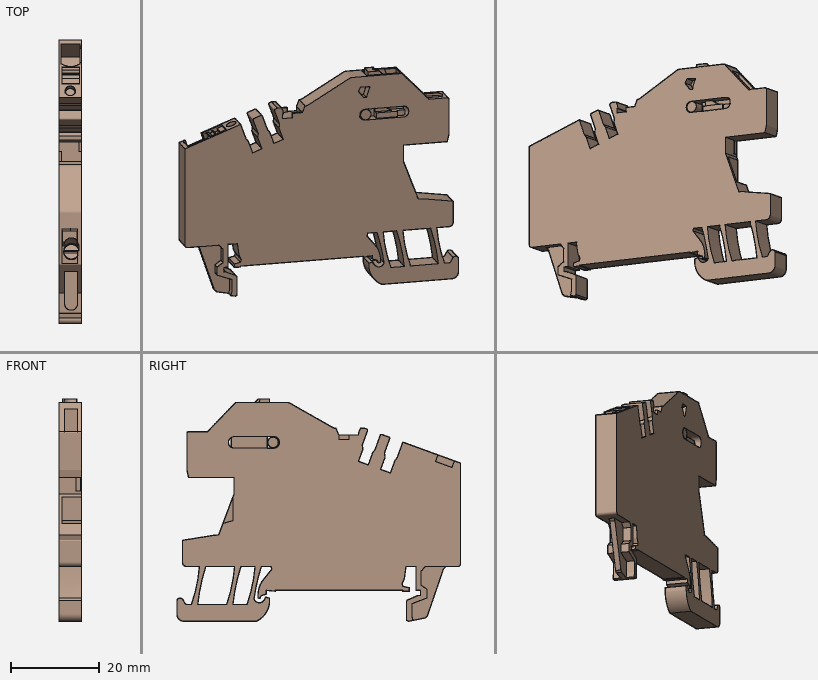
import cadquery as cq
import math

WIDTH = 5.1
HALF = WIDTH / 2
REAR = 31.9
BASE_Z = 12.3
INSIDE_HOUSING = BASE_Z + 0.65
RAIL_Z = 6.95
PLATEAU_Z = 49.2
NOSE_Z = 42.65
TILT = 20.0
SLOPE_FOOT_Z = 35.6
SIN = math.sin(math.radians(TILT))
COS = math.cos(math.radians(TILT))
WEB_WIDTH = 1.3

SLOT_PITCH = 5.3
SLOT_DEPTH = 7.45
SLOT_FIRST = 14.1
SLOT_WIDTH = 2.3
SLOT_STEP_LOW = 2.95
SLOT_STEP_HIGH = 3.7
SLOT_REAR_STEP = 0.25
SLOT_FRONT_STEP = 0.45
TOOTH_ROUNDING = 0.3

SCREW_X = 0.25
SCREW_Y = -14.7
SCREW_R = 1.7
SCREW_HEAD_DEPTH = 2.95
SCREW_BORE_DEPTH = 6.4
SCREWDRIVER_SLOT_W = 0.6
SCREWDRIVER_SLOT_D = 0.65
POCKET_X = (-1.85, 1.65)
POCKET_Y = (-18.4, -10.6)
POCKET_FLOOR = 46.55
PUSHER_TOP = 50.0
PUSHER_Y = (-14.4, -11.05)
PUSHER_X = (-1.8, 1.45)

WINDOW_Y = (-20.3, -8.85)
WINDOW_Z = 40.25
WINDOW_R = 1.3
PIN_R = 1.2
PIN_Y = -10.25
CLAMP_Y = (-19.7, -11.55)
CLAMP_JAW_Y = (-17.85, -12.9)
CLAMP_JAW_X = -1.9
CLAMP_TIP_X = -1.3
CLAMP_TONGUE_X = -0.95
CLAMP_BACK_X = 0.0

FRONT_ENTRY_X = (-1.3, 1.65)
FRONT_ENTRY_Y = (-28.9, -20.15)
FRONT_ENTRY_FLOOR = 42.1
REAR_ENTRY_X = (-2.05, 2.25)
REAR_ENTRY_Y = (25.9, 31.0)
REAR_ENTRY_ARC = 0.7
REAR_ENTRY_DEPTH = 8.8
REAR_NOTCH_Y = (26.8, 30.5)
REAR_NOTCH_DEPTH = 1.6

LEVER_X = (-1.85, 2.05)
LEVER_Y = (22.05, 25.75)
LEVER_POCKET_DEPTH = 1.9
LEVER_RECESS = 0.4
LEVER_GROOVE_Y = (23.3, 24.3)
LEVER_GROOVE_DEPTH = 1.0
LEVER_SCALLOP_Y = 24.9
LEVER_SCALLOP_R = 0.4
TEST_HOLE_Y = 20.4
TEST_HOLE_R = 1.15
TEST_HOLE_DEPTH = 1.6

SHELF_Y = (4.5, 9.1)
SHELF_MIDDLE_Y = 6.75
SHELF_TOP = 41.9
SHELF_DROP = 1.0
SHELF_WALL = 0.6

FRONT_PANEL_X = -1.85
FRONT_PANEL_Y = -19.3
FRONT_PANEL_Z = (22.0, 28.3)
FRONT_NOTCH_X = (1.3, 2.3)
FRONT_NOTCH_Z = (29.3, 32.3)
FRONT_NOTCH_DEPTH = 0.3
FRONT_FACE_Y = -19.05


def box(x_range, y_range, z_range):
    """Axis-aligned block between the given limits."""
    size = [high - low for low, high in (x_range, y_range, z_range)]
    corner = (x_range[0], y_range[0], z_range[0])
    return cq.Workplane("XY").box(*size, centered=False).translate(corner)


def side_plate(outline, x_range=(-HALF, HALF)):
    """Closed wire in the (Y, Z) plane, extruded along X."""
    return outline.close().extrude(x_range[1] - x_range[0]).translate((x_range[0], 0, 0))


def side_polygon(points, x_range=(-HALF, HALF)):
    """Straight-sided outline in (Y, Z), extruded along X."""
    return side_plate(cq.Workplane("YZ").polyline(points), x_range)


def round_edge(body, y, z, radius):
    """Round the edge along X nearest to (y, z)."""
    nearest = cq.selectors.NearestToPointSelector((0, y, z))
    return body.edges("|X").edges(nearest).fillet(radius)


def on_slope(distance, height=0.0):
    """(Y, Z) of a point this far up the sloping top and this high above it."""
    y = REAR - distance * COS + height * SIN
    z = SLOPE_FOOT_Z + distance * SIN + height * COS
    return (y, z)


def slope_plane():
    """Plane on the sloping top: local y = 0 lies at the rear end."""
    return cq.Workplane(
        cq.Plane(origin=(0, REAR, SLOPE_FOOT_Z), xDir=(1, 0, 0), normal=(0, SIN, COS))
    )


def slope_y(y):
    """Local y on the sloping top below a world Y."""
    return (y - REAR) / COS


def slope_box(x_range, y_range, depth):
    """Block sunk square into the sloping top."""
    low, high = slope_y(y_range[0]), slope_y(y_range[1])
    middle = (sum(x_range) / 2, (low + high) / 2)
    return (
        slope_plane().center(*middle).rect(x_range[1] - x_range[0], high - low).extrude(-depth)
    )


def housing_plate():
    plate = side_polygon([
        (REAR, BASE_Z),
        (REAR, SLOPE_FOOT_Z),
        on_slope(22.95),
        (9.4, 43.4),
        (9.0, 42.6),
        (8.85, SHELF_TOP),
        (SHELF_Y[0], SHELF_TOP),
        (3.9, 43.4),
        (3.45, 43.4),
        (-6.75, PLATEAU_Z),
        (-18.7, PLATEAU_Z),
        (-25.0, NOSE_Z),
        (-29.65, NOSE_Z),
        (-29.65, 34.0),
        (-29.3, 32.3),
        (FRONT_FACE_Y, 32.3),
        (FRONT_FACE_Y, 28.65),
        (-22.5, 19.45),
        (-23.5, 19.4),
        (-30.7, 18.25),
        (-30.7, BASE_Z),
    ])
    plate = round_edge(plate, REAR, BASE_Z, 0.65)
    plate = round_edge(plate, -30.7, BASE_Z, 1.0)
    plate = round_edge(plate, 3.45, 43.4, 1.3)
    plate = round_edge(plate, -6.75, PLATEAU_Z, 1.45)
    plate = round_edge(plate, -18.7, PLATEAU_Z, 0.4)
    plate = round_edge(plate, -30.7, 18.25, 0.25)
    return round_edge(plate, -29.65, NOSE_Z, 0.4)


def rail_block():
    """Lower middle of the housing with its lip at the rear and hook at the front."""
    return side_plate(
        cq.Workplane("YZ")
        .moveTo(19.65, BASE_Z)
        .lineTo(19.25, 9.55)
        .lineTo(18.75, 8.5)
        .lineTo(18.95, 7.9)
        .lineTo(20.35, 7.6)
        .lineTo(20.35, 6.75)
        .lineTo(18.9, 6.75)
        .lineTo(18.9, RAIL_Z)
        .lineTo(-9.75, RAIL_Z)
        .lineTo(-9.75, 6.75)
        .lineTo(-11.8, RAIL_Z)
        .lineTo(-11.8, 6.1)
        .lineTo(-12.95, 5.75)
        .lineTo(-13.2, 5.1)
        .lineTo(-13.65, 5.2)
        .threePointArc((-13.45, 7.45), (-12.8, 8.9))
        .lineTo(-10.6, 11.75)
        .lineTo(-10.9, INSIDE_HOUSING)
        .lineTo(19.65, INSIDE_HOUSING)
    )


def bowed_leg(rear_y):
    """Leg of the rail foot; rear_y is where its rear side leaves the housing."""
    foot_z, middle_z = 3.8, 8.55
    inside_sole = 3.2
    return side_plate(
        cq.Workplane("YZ")
        .moveTo(rear_y, BASE_Z)
        .threePointArc((rear_y - 1.0, middle_z), (rear_y - 1.8, foot_z))
        .lineTo(rear_y - 1.8, inside_sole)
        .lineTo(rear_y - 3.25, inside_sole)
        .lineTo(rear_y - 3.25, foot_z)
        .threePointArc((rear_y - 2.0, middle_z), (rear_y - 1.45, BASE_Z))
        .lineTo(rear_y - 1.45, INSIDE_HOUSING)
        .lineTo(rear_y, INSIDE_HOUSING)
    )


def front_foot():
    """Rail foot hung on three bowed legs."""
    sole = side_plate(
        cq.Workplane("YZ")
        .moveTo(-11.05, 5.2)
        .lineTo(-11.9, 5.5)
        .lineTo(-12.25, 4.85)
        .threePointArc((-13.3, 4.2), (-14.55, 5.1))
        .lineTo(-16.1, 3.8)
        .lineTo(-29.9, 3.8)
        .lineTo(-30.6, 5.05)
        .threePointArc((-31.4, 5.2), (-REAR, 4.7))
        .lineTo(-REAR, 1.6)
        .radiusArc((-30.3, 0), -1.6)
        .lineTo(-14.0, 0)
        .threePointArc((-12.1, 1.5), (-11.05, 4.2))
    )
    foot = round_edge(sole, -29.9, 3.8, 0.4)
    for rear_y in (-12.9, -17.5, -25.4):
        foot = foot.union(bowed_leg(rear_y))
    return foot


LEG_REAR_SIDE = [
    (23.9, BASE_Z), (22.95, 11.2), (22.95, 8.15), (24.35, 7.2),
    (24.35, 5.3), (20.9, 3.95), (20.9, 1.3), (21.2, 0.2),
]


def spring_leg():
    """Full-width leg that hooks under the rail."""
    front_side = [
        (20.15, 0.0), (19.7, 0.25), (19.7, 4.7), (22.3, 5.85), (22.8, 5.85),
        (22.8, RAIL_Z), (21.8, RAIL_Z), (21.8, INSIDE_HOUSING), (23.9, INSIDE_HOUSING),
    ]
    leg = side_polygon(LEG_REAR_SIDE + front_side)
    return round_edge(leg, 19.7, 4.7, 0.6)


def release_web():
    """Thin wedge that stiffens the spring leg from behind."""
    rear_side = [(24.0, 0.75), (24.4, 1.2), (28.05, 11.8), (28.6, BASE_Z)]
    return side_polygon(LEG_REAR_SIDE + rear_side, (-WEB_WIDTH / 2, WEB_WIDTH / 2))


def marker_slot(index):
    """Stepped slot for a marker, square to the sloping top."""
    rear = SLOT_FIRST + index * SLOT_PITCH
    front = rear + SLOT_WIDTH
    floor = -SLOT_DEPTH
    above = 1.3
    return side_polygon([
        on_slope(rear, floor),
        on_slope(rear, floor + SLOT_STEP_LOW),
        on_slope(rear - SLOT_REAR_STEP, floor + SLOT_STEP_HIGH),
        on_slope(rear - SLOT_REAR_STEP, above),
        on_slope(front + SLOT_FRONT_STEP, above),
        on_slope(front + SLOT_FRONT_STEP, floor + SLOT_STEP_HIGH),
        on_slope(front, floor + SLOT_STEP_LOW),
        on_slope(front, floor),
    ])


def shelf_cut():
    """Low shelf with half a wall on each side."""
    low = SHELF_TOP - SHELF_DROP
    middle = box((-HALF + SHELF_WALL, HALF - SHELF_WALL), SHELF_Y, (low, SHELF_TOP))
    left = box((-HALF, 0), (SHELF_MIDDLE_Y, SHELF_Y[1]), (low, SHELF_TOP))
    right = box((0, HALF), (SHELF_Y[0], SHELF_MIDDLE_Y), (low, SHELF_TOP))
    return middle.union(left).union(right)


def rear_entry_cut():
    low, high = slope_y(REAR_ENTRY_Y[0]), slope_y(REAR_ENTRY_Y[1])
    x_min, x_max = REAR_ENTRY_X
    funnel = (
        slope_plane()
        .moveTo(x_min, high)
        .lineTo(x_min, low + REAR_ENTRY_ARC)
        .threePointArc(((x_min + x_max) / 2, low), (x_max, low + REAR_ENTRY_ARC))
        .lineTo(x_max, high)
        .close()
        .extrude(-REAR_ENTRY_DEPTH)
    )
    return funnel.union(slope_box((0, HALF), REAR_NOTCH_Y, REAR_NOTCH_DEPTH))


def front_entry_cut():
    """Upright channel with a flat floor and a round front end."""
    x_min, x_max = FRONT_ENTRY_X
    radius = (x_max - x_min) / 2
    back, front = FRONT_ENTRY_Y[1], FRONT_ENTRY_Y[0]
    return (
        cq.Workplane("XY", origin=(0, 0, FRONT_ENTRY_FLOOR))
        .moveTo(x_min, back)
        .lineTo(x_min, front + radius)
        .threePointArc((x_min + radius, front), (x_max, front + radius))
        .lineTo(x_max, back)
        .close()
        .extrude(PLATEAU_Z - FRONT_ENTRY_FLOOR)
    )


def screw_rod(top_depth):
    """Cylinder in the leaning screw bore, from this depth below the roof to the bore's end."""
    bore_mouth = cq.Plane(origin=(SCREW_X, SCREW_Y, PLATEAU_Z), xDir=(1, 0, 0), normal=(0, SIN, COS))
    return (
        cq.Workplane(bore_mouth)
        .workplane(offset=-SCREW_BORE_DEPTH)
        .circle(SCREW_R)
        .extrude(SCREW_BORE_DEPTH - top_depth)
    )


def screw_cavity():
    pocket = box(POCKET_X, POCKET_Y, (POCKET_FLOOR, PLATEAU_Z))
    above_roof = 1.3
    return pocket.union(screw_rod(-above_roof))


def sight_hole():
    """Small blind hole in the -X side, below the pusher."""
    return side_polygon(
        [(-8.55, 45.85), (-9.05, 46.8), (-11.2, 46.7), (-10.4, 44.25), (-9.8, 44.25)],
        (-HALF, 0),
    )


def window_solid():
    """Round-ended bar across the full width, with the section of the side slot."""
    length = WINDOW_Y[1] - WINDOW_Y[0]
    return (
        cq.Workplane("YZ")
        .center(sum(WINDOW_Y) / 2, WINDOW_Z)
        .slot2D(length, 2 * WINDOW_R)
        .extrude(HALF, both=True)
    )


def front_panel_cut():
    """Recess in the sloping front: an upright panel above a bevelled ledge."""
    low, high = FRONT_PANEL_Z
    outside = FRONT_PANEL_Y - 3.8
    ledge_y = FRONT_PANEL_Y - 2.25
    bevel_top = low + 0.65
    return side_polygon(
        [
            (outside, low), (ledge_y, low), (FRONT_PANEL_Y, bevel_top),
            (FRONT_PANEL_Y, high), (outside, high),
        ],
        (FRONT_PANEL_X, HALF),
    )


def front_notch_cut():
    """Shallow notch in the upright face under the overhang."""
    y_range = (FRONT_FACE_Y, FRONT_FACE_Y + FRONT_NOTCH_DEPTH)
    return box(FRONT_NOTCH_X, y_range, FRONT_NOTCH_Z)


def make_housing():
    housing = housing_plate()
    for part in (rail_block(), front_foot(), spring_leg(), release_web()):
        housing = housing.union(part)
    for index in range(2):
        housing = housing.cut(marker_slot(index))
    tooth_rear = SLOT_FIRST + SLOT_WIDTH + SLOT_FRONT_STEP
    tooth_front = SLOT_FIRST + SLOT_PITCH - SLOT_REAR_STEP
    for distance in (tooth_rear, tooth_front, tooth_rear + SLOT_PITCH):
        housing = round_edge(housing, *on_slope(distance), TOOTH_ROUNDING)
    test_hole = (
        slope_plane().center(0, slope_y(TEST_HOLE_Y)).circle(TEST_HOLE_R).extrude(-TEST_HOLE_DEPTH)
    )
    cuts = (
        shelf_cut(),
        rear_entry_cut(),
        slope_box(LEVER_X, LEVER_Y, LEVER_POCKET_DEPTH),
        test_hole,
        front_entry_cut(),
        screw_cavity(),
        sight_hole(),
        window_solid(),
        front_panel_cut(),
        front_notch_cut(),
    )
    for cut in cuts:
        housing = housing.cut(cut)
    return housing


def make_screw():
    """Slotted screw at the bottom of the leaning bore."""
    screw = screw_rod(SCREW_HEAD_DEPTH)
    driver_slot = (
        screw.faces(">Z")
        .workplane(centerOption="CenterOfMass")
        .rect(2 * SCREW_R, SCREWDRIVER_SLOT_W)
        .extrude(-SCREWDRIVER_SLOT_D, combine=False)
    )
    return screw.cut(driver_slot)


def make_pusher():
    """Block beside the screw that stands proud of the roof, hollowed around the screw."""
    front, back = PUSHER_Y
    block = side_polygon(
        [
            (back, POCKET_FLOOR), (back, PUSHER_TOP), (front + 0.8, PUSHER_TOP),
            (front, PLATEAU_Z), (front, POCKET_FLOOR),
        ],
        PUSHER_X,
    )
    above_pusher = 1.9
    return block.cut(screw_rod(-above_pusher))


def make_side_pin():
    """Pin lying across the block in the rear end of the side slot."""
    return (
        cq.Workplane("YZ", origin=(-HALF, PIN_Y, WINDOW_Z))
        .circle(PIN_R)
        .extrude(WIDTH)
    )


def make_clamp():
    """Clamp in the side slot: a back plate with a low jaw and a sloping tongue above it."""
    top = WINDOW_Z + WINDOW_R
    bottom = WINDOW_Z - WINDOW_R
    jaw_front, jaw_rear = CLAMP_JAW_Y
    back_plate = box((CLAMP_BACK_X, HALF), CLAMP_Y, (bottom, top))
    jaw = box((CLAMP_JAW_X, HALF), CLAMP_JAW_Y, (bottom, WINDOW_Z))
    tip = box((CLAMP_TIP_X, HALF), (CLAMP_Y[0], jaw_front), (bottom, WINDOW_Z))
    tongue = side_polygon(
        [(jaw_rear, WINDOW_Z), (jaw_rear, top), (-14.55, top), (-16.7, WINDOW_Z)],
        (CLAMP_TONGUE_X, HALF),
    )
    blank = back_plate.union(jaw).union(tip).union(tongue)
    return blank.intersect(window_solid())


def make_lever():
    """Release lever, sunk in its pocket, with a groove and a round scallop across it."""
    lever = slope_box(LEVER_X, LEVER_Y, LEVER_POCKET_DEPTH)
    lever = lever.cut(slope_box(LEVER_X, LEVER_Y, LEVER_RECESS))
    lever = lever.cut(slope_box(LEVER_X, LEVER_GROOVE_Y, LEVER_GROOVE_DEPTH))
    scallop_center = on_slope(-slope_y(LEVER_SCALLOP_Y), -LEVER_RECESS)
    scallop = (
        cq.Workplane("YZ", origin=(-HALF, *scallop_center)).circle(LEVER_SCALLOP_R).extrude(WIDTH)
    )
    return lever.cut(scallop)


housing = make_housing()
screw = make_screw()
pusher = make_pusher()
side_pin = make_side_pin()
clamp = make_clamp()
lever = make_lever()

result = cq.Compound.makeCompound([
    housing.val(), screw.val(), pusher.val(),
    side_pin.val(), clamp.val(), lever.val(),
])